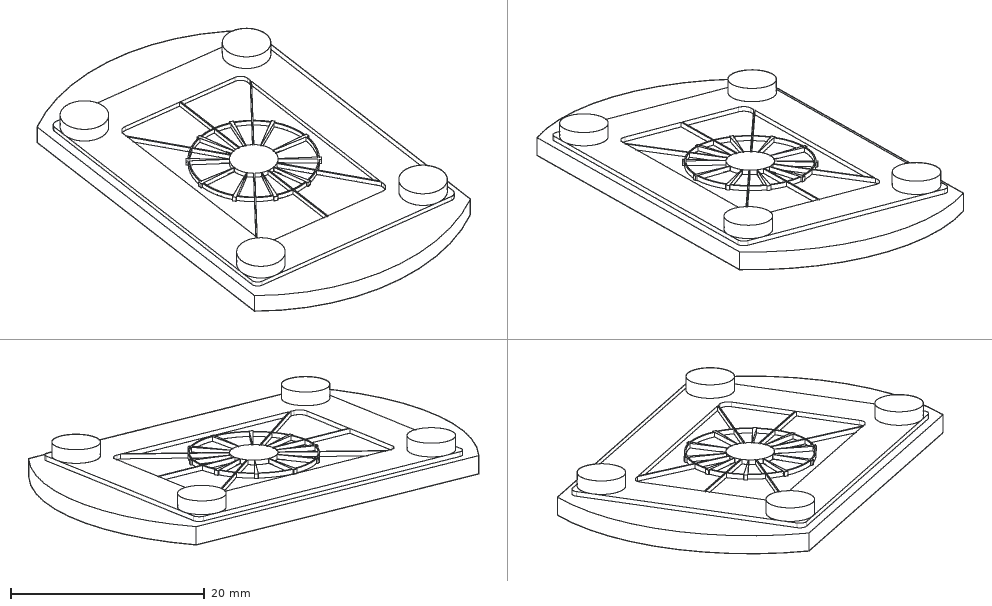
import cadquery as cq
import math

base_diameter = 46.5
base_width = 28.0
base_thickness = 2.0

plate_length = 35.15
plate_width = 26.05
plate_thickness = 0.5
plate_corner_radius = 0.75
pocket_length = 25.1
pocket_width = 16.1
pocket_corner_radius = 0.95

total_height = 4.0
foot_diameter = 5.0

hub_diameter = 5.0
rib_width = 0.15
ring_outer_radius = 6.8
ring_width = 0.15
spoke_tip_radius = 6.98
spoke_root_width = 0.05
spoke_tip_width = 0.4
spoke_count = 10
spoke_pitch = 360 / spoke_count
first_spoke_angle = spoke_pitch / 2
brace_angles = (0, spoke_pitch, -spoke_pitch)


def rounded_block(length, width, corner_radius):
    """Block of plate thickness on the base, with rounded vertical edges."""
    return (
        cq.Workplane("XY", origin=(0, 0, base_thickness))
        .rect(length, width)
        .extrude(plate_thickness)
        .edges("|Z")
        .fillet(corner_radius)
    )


def make_base():
    half_width = base_width / 2
    radius = base_diameter / 2
    half_flat = math.sqrt(radius**2 - half_width**2)
    return (
        cq.Workplane("XY")
        .moveTo(-half_flat, -half_width)
        .lineTo(half_flat, -half_width)
        .threePointArc((radius, 0), (half_flat, half_width))
        .lineTo(-half_flat, half_width)
        .threePointArc((-radius, 0), (-half_flat, -half_width))
        .close()
        .extrude(base_thickness)
    )


def make_feet():
    return (
        cq.Workplane("XY", origin=(0, 0, base_thickness))
        .rect(plate_length - foot_diameter, plate_width - foot_diameter, forConstruction=True)
        .vertices()
        .circle(foot_diameter / 2)
        .extrude(total_height - base_thickness)
    )


def make_spoke(angle):
    """Spoke that widens from the hub to a flat tip just outside the ring."""
    hub_radius = hub_diameter / 2
    root_radius = hub_radius / 2
    return (
        cq.Workplane("XY", origin=(0, 0, base_thickness))
        .polyline([
            (root_radius, -spoke_root_width / 2),
            (hub_radius, -spoke_root_width / 2),
            (spoke_tip_radius, -spoke_tip_width / 2),
            (spoke_tip_radius, spoke_tip_width / 2),
            (hub_radius, spoke_root_width / 2),
            (root_radius, spoke_root_width / 2),
        ])
        .close()
        .extrude(plate_thickness)
        .rotate((0, 0, 0), (0, 0, 1), angle)
    )


def make_brace(angle):
    """Straight rib through the centre, from one side of the pocket to the other."""
    bar = (
        cq.Workplane("XY", origin=(0, 0, base_thickness))
        .rect(plate_length, rib_width)
        .extrude(plate_thickness)
        .rotate((0, 0, 0), (0, 0, 1), angle)
    )
    return bar.intersect(rounded_block(pocket_length, pocket_width, pocket_corner_radius))


def make_wheel():
    floor = cq.Workplane("XY", origin=(0, 0, base_thickness))
    ring = floor.circle(ring_outer_radius).circle(ring_outer_radius - ring_width).extrude(plate_thickness)
    wheel = floor.circle(hub_diameter / 2).extrude(plate_thickness).union(ring)
    for index in range(spoke_count):
        wheel = wheel.union(make_spoke(first_spoke_angle + index * spoke_pitch))
    for angle in brace_angles:
        wheel = wheel.union(make_brace(angle))
    return wheel


plate = rounded_block(plate_length, plate_width, plate_corner_radius)
pocket = rounded_block(pocket_length, pocket_width, pocket_corner_radius)

result = make_base().union(plate.cut(pocket)).union(make_feet()).union(make_wheel())